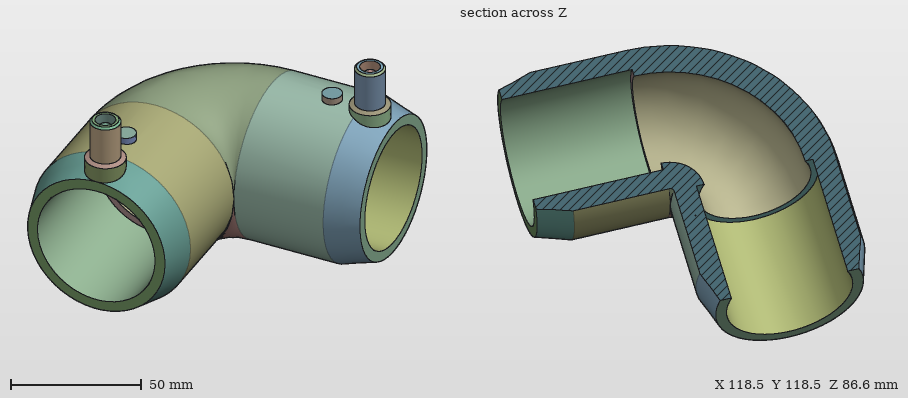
import cadquery as cq

overall_length = 118.5
tube_diameter = 67.0
tube_radius = tube_diameter / 2
straight_length = overall_length - tube_diameter

taper_length = 13.6
end_diameter = 58.5
socket_diameter = 50.0
bore_diameter = 44.6

top_height = 53.1
collar_diameter = 16.0
collar_top = top_height - 16.5
collar_slope_height = 0.8
shroud_diameter = 12.0
shroud_chamfer = 0.8
collar_slope_width = (collar_diameter - shroud_diameter) / 2
shroud_hole_diameter = 8.0
shroud_hole_depth = 13.0
contact_diameter = 5.0
contact_top = top_height - 2.6
contact_chamfer = 0.5
indicator_diameter = 8.0
indicator_top = 36.1
indicator_from_end = 26.1
x_terminal_from_end = 10.0
y_terminal_from_end = collar_diameter / 2

x_arm_terminal = (straight_length - x_terminal_from_end, tube_radius)
y_arm_terminal = (-tube_radius, y_terminal_from_end - straight_length)
x_arm_indicator = (straight_length - indicator_from_end, tube_radius)
y_arm_indicator = (-tube_radius, indicator_from_end - straight_length)


def along_arms(profile_solid):
    """Place a solid built along +X from the origin on both arms of the elbow."""
    x_arm = profile_solid.translate((0, tube_radius, 0))
    y_arm = profile_solid.rotate((0, 0, 0), (0, 0, 1), -90).translate((-tube_radius, 0, 0))
    return x_arm, y_arm


def quarter_bend(diameter):
    """Turn a disc a quarter turn about the vertical line through the inner corner, joining the arms."""
    inner = tube_radius - diameter / 2
    outer = tube_radius + diameter / 2
    return (
        cq.Workplane("YZ")
        .moveTo(inner, 0)
        .threePointArc((tube_radius, diameter / 2), (outer, 0))
        .threePointArc((tube_radius, -diameter / 2), (inner, 0))
        .close()
        .revolve(90, (0, 0), (0, 1))
    )


def outer_arm():
    """Straight tube with a tapered free end, along +X."""
    return (
        cq.Workplane("XY")
        .lineTo(0, tube_radius)
        .lineTo(straight_length - taper_length, tube_radius)
        .lineTo(straight_length, end_diameter / 2)
        .lineTo(straight_length, 0)
        .close()
        .revolve(360, (0, 0), (1, 0))
    )


def post(diameter, centre, top, bottom=0):
    """Vertical cylinder between two heights."""
    return cq.Workplane("XY", origin=(*centre, bottom)).circle(diameter / 2).extrude(top - bottom)


def shroud_hole(centre):
    """Annular recess in the shroud, leaving the contact pin standing in the middle."""
    floor = top_height - shroud_hole_depth
    contact = post(contact_diameter, centre, contact_top, floor).faces(">Z").chamfer(contact_chamfer)
    return post(shroud_hole_diameter, centre, top_height, floor).cut(contact)


body = quarter_bend(tube_diameter)
for arm in along_arms(outer_arm()):
    body = body.union(arm)

for centre in (x_arm_terminal, y_arm_terminal):
    collar = post(collar_diameter, centre, collar_top)
    collar = collar.faces(">Z").chamfer(collar_slope_height, collar_slope_width)
    shroud = post(shroud_diameter, centre, top_height).faces(">Z").chamfer(shroud_chamfer)
    body = body.union(collar).union(shroud).cut(shroud_hole(centre))

for centre in (x_arm_indicator, y_arm_indicator):
    body = body.union(post(indicator_diameter, centre, indicator_top))

body = body.cut(quarter_bend(bore_diameter))
socket = cq.Workplane("YZ").circle(socket_diameter / 2).extrude(straight_length)
for arm_socket in along_arms(socket):
    body = body.cut(arm_socket)

result = body